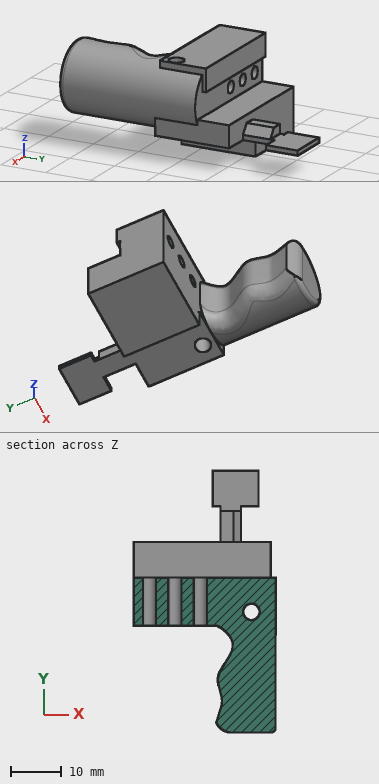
import cadquery as cq

block_depth = 16.5
ledge_top = 9.8
lower_width = 27.0
foot_width = 16.0
foot_height = 5.0
upper_width = 25.0
block_height = 20.0
upper_depth = 9.5
lip_depth = 10.25
lip_height = 4.95

cross_hole_diameter = 2.5
cross_hole_first_x = 3.15
cross_hole_pitch = 5.0
cross_hole_count = 3
pin_hole_diameter = 3.2
pin_hole_x = 23.2
pin_hole_y = 2.75

tongue_length = 14.0
tongue_thickness = 1.1
stem_left = 17.1
stem_width = 4.05
head_left = 15.55
head_width = 9.05
head_length = 7.0
rib_length = 6.1
rib_height = 3.1
rib_top_width = 2.5

handle_right = 28.0
handle_radius = (block_height - foot_height) / 2
handle_x = handle_right - handle_radius
handle_z = foot_height + handle_radius
handle_reach = 21.0
end_fillet = 1.05
grip_fillet = 2.85
heel_radius = 3.3
heel_left = 16.15
heel_back_left = 14.4
grip_run_out = 3.1
groove_points = [
    (15.35, 0.25),
    (18.5, -1.55),
    (19.45, -3.4),
    (17.8, -7.55),
    (16.55, -10.4),
    (17.35, -14.4),
    (16.4, -18.55),
    (15.65, -handle_reach - grip_run_out),
]


def box(x, y, z, width, depth, height):
    """Box from its left, front, bottom corner."""
    return cq.Workplane("XY").box(width, depth, height, centered=False).translate((x, y, z))


def make_block():
    foot = box(0, 0, 0, foot_width, block_depth, foot_height)
    lower = box(0, 0, foot_height, lower_width, block_depth, ledge_top - foot_height)
    upper = box(0, 0, ledge_top, upper_width, upper_depth, block_height - ledge_top)
    lip = box(0, 0, block_height - lip_height, upper_width, lip_depth, lip_height)
    return foot.union(lower).union(upper).union(lip)


def make_tongue():
    stem = box(stem_left, block_depth, foot_height, stem_width, tongue_length, tongue_thickness)
    head_y = block_depth + tongue_length - head_length
    head = box(head_left, head_y, foot_height, head_width, head_length, tongue_thickness)
    rib = (
        cq.Workplane("XZ", origin=(stem_left, block_depth, foot_height))
        .polyline([
            (0, 0),
            (stem_width, 0),
            (stem_width, tongue_thickness),
            (rib_top_width, rib_height),
            (0, rib_height),
        ])
        .close()
        .extrude(-rib_length)
    )
    return stem.union(head).union(rib)


def make_bar(reach):
    """Round bar from the back of the handle to the given distance ahead of the block."""
    return (
        cq.Workplane("XZ", origin=(handle_x, upper_depth, handle_z))
        .circle(handle_radius)
        .extrude(upper_depth + reach)
    )


def is_groove_rim(edge):
    return edge.geomType() == "BSPLINE" and edge.BoundingBox().ylen > handle_reach / 2


def make_grip():
    """Overlong bar with the finger grooves and their rounded rims."""
    start_x = groove_points[0][0]
    end_y = groove_points[-1][1]
    profile = (
        cq.Workplane("XY")
        .moveTo(*groove_points[0])
        .spline(groove_points[1:], includeCurrent=True)
        .lineTo(handle_right, end_y)
        .lineTo(handle_right, upper_depth)
        .lineTo(start_x, upper_depth)
        .close()
        .extrude(block_height)
    )
    grip = make_bar(-end_y).intersect(profile)
    rims = [edge for edge in grip.edges().vals() if is_groove_rim(edge)]
    return grip.newObject(rims).fillet(grip_fillet)


def make_handle():
    rounded_bar = make_bar(handle_reach).faces("<Y").edges().fillet(end_fillet)
    heel = (
        cq.Workplane("XY")
        .polyline([
            (heel_left, -handle_reach),
            (handle_right, -handle_reach),
            (handle_right, upper_depth),
            (heel_back_left, upper_depth),
        ])
        .close()
        .extrude(block_height)
        .edges("|Z and <Y").edges("<X")
        .fillet(heel_radius)
    )
    return make_grip().intersect(rounded_bar).intersect(heel)


def make_cross_holes():
    centers = [(cross_hole_first_x + i * cross_hole_pitch, handle_z) for i in range(cross_hole_count)]
    return cq.Workplane("XZ").pushPoints(centers).circle(cross_hole_diameter / 2).extrude(-block_depth)


def make_pin_hole():
    return (
        cq.Workplane("XY")
        .center(pin_hole_x, pin_hole_y)
        .circle(pin_hole_diameter / 2)
        .extrude(block_height)
    )


result = make_block().union(make_tongue()).union(make_handle())
result = result.cut(make_cross_holes()).cut(make_pin_hole())